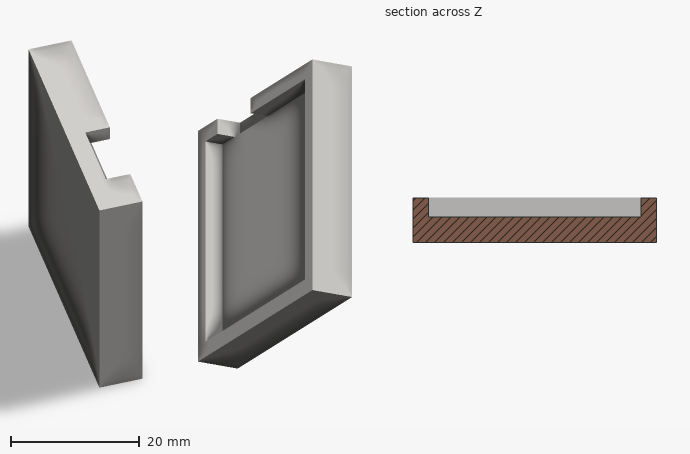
import cadquery as cq

side = 38.0
thickness = 7.0
rim = 2.5
hollow_depth = 3.0
notch_width = 11.0
notch_depth = 4.0
notch_to_right_side = 6.5

hollow_side = side - 2 * rim
notch_right = side / 2 - notch_to_right_side
notch_center_x = notch_right - notch_width / 2
notch_center_z = (side - rim) / 2


def back_cut(width, depth, height, center_x, center_z):
    """Rectangular block sunk to a given depth from the +Y face."""
    center_y = (thickness - depth) / 2
    return cq.Workplane("XY").box(width, depth, height).translate((center_x, center_y, center_z))


plate = cq.Workplane("XY").box(side, thickness, side)

hollow = back_cut(hollow_side, hollow_depth, hollow_side, 0, 0)

notch = back_cut(notch_width, notch_depth, rim, notch_center_x, notch_center_z)

result = plate.cut(hollow).cut(notch)